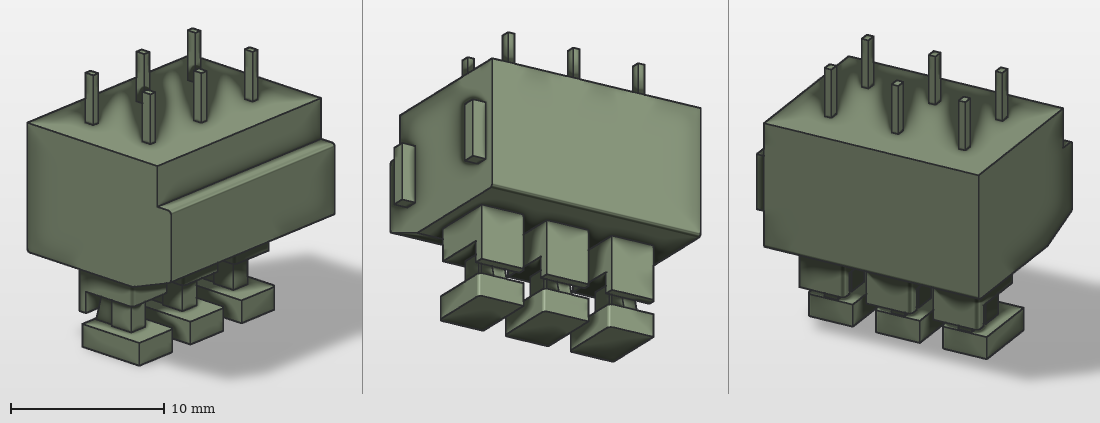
import cadquery as cq


total_height = 18.7
housing_length = 12.6
housing_depth = 16.0
housing_height = 9.07
ledge_width = 1.2
ledge_drop = 2.86
slope_start = 9.25
slope_rise = 1.2
housing_edge_radius = 0.26

tab_width = 1.0
tab_length = 1.0
tab_height = 4.0
tab_bottom = 2.25
tab_centers_x = (1.3, 10.02)

station_count = 3
pitch = 5.0
first_station_y = 2.8

pin_size_x = 0.7
pin_size_y = 0.5
first_pin_x = 3.16

bracket_left = 2.94
bracket_length = 4.8
bracket_width = 3.35
bracket_offset_y = 0.52
bracket_drop = 2.32
leg_length = 0.73
leg_drop = 3.83
corner_radius = 0.3

button_offset_y = 0.28
pad_left = 3.59
pad_length = 5.0
pad_width = 3.4
pad_thickness = 1.6
pad_drop = 4.53
stem_left = 5.25
stem_right = 6.98
stem_width = 1.38
wedge_width = 1.0
wedge_top_left = 4.3
wedge_bottom_left = 3.72

pin_length = total_height - housing_height - pad_drop - pad_thickness


def box(x_min, x_max, y_center, y_size, z_min, z_max):
    """Upright box given by its X and Z limits and its centre and width along Y."""
    corner = (x_min, y_center - y_size / 2, z_min)
    return cq.Workplane("XY").box(x_max - x_min, y_size, z_max - z_min, centered=False).translate(corner)


def prism(points, y_center, y_size):
    """XZ outline extruded evenly to both sides of y_center."""
    outline = cq.Workplane("XZ", origin=(0, y_center, 0)).polyline(points).close()
    return outline.extrude(y_size / 2, both=True)


def make_housing():
    ledge_z = housing_height - ledge_drop
    ledge_x = housing_length - ledge_width
    outline = [
        (0, 0),
        (slope_start, 0),
        (housing_length, slope_rise),
        (housing_length, ledge_z),
        (ledge_x, ledge_z),
        (ledge_x, housing_height),
        (0, housing_height),
    ]
    housing = prism(outline, housing_depth / 2, housing_depth)
    right_edges = housing.faces(">X").edges("|Y")
    left_edge = housing.faces("<X").edges("|Y and <Z")
    return housing.newObject(right_edges.vals() + left_edge.vals()).fillet(housing_edge_radius)


def make_tab(x_center):
    tab = cq.Workplane("XY").box(tab_width, tab_length, tab_height, centered=(True, False, False))
    return tab.translate((x_center, housing_depth, tab_bottom))


def make_pin(x_center, y_center):
    x_min = x_center - pin_size_x / 2
    top = housing_height + pin_length
    return box(x_min, x_min + pin_size_x, y_center, pin_size_y, housing_height, top)


def make_bracket(y_center):
    """Block with a leg hanging down on its left side; the front corners are rounded."""
    right = bracket_left + bracket_length
    leg_right = bracket_left + leg_length
    outline = [
        (bracket_left, 0),
        (right, 0),
        (right, -bracket_drop),
        (leg_right, -bracket_drop),
        (leg_right, -leg_drop),
        (bracket_left, -leg_drop),
    ]
    bracket = prism(outline, y_center, bracket_width)
    left_corner = bracket.faces("<X").edges("|Z and <Y")
    right_corner = bracket.faces(">X").edges("|Z and <Y")
    return bracket.newObject(left_corner.vals() + right_corner.vals()).fillet(corner_radius)


def make_button(y_center):
    """Pad on a stem, with a narrower wedge along the left side of the stem."""
    pad_bottom = -pad_drop - pad_thickness
    pad = box(pad_left, pad_left + pad_length, y_center, pad_width, pad_bottom, -pad_drop)
    pad = pad.faces(">Y").edges("|Z").fillet(corner_radius)
    stem = box(stem_left, stem_right, y_center, stem_width, -pad_drop, -bracket_drop)
    wedge_outline = [
        (stem_left, -bracket_drop),
        (stem_left, -pad_drop),
        (wedge_bottom_left, -pad_drop),
        (wedge_top_left, -bracket_drop),
    ]
    return pad.union(stem).union(prism(wedge_outline, y_center, wedge_width))


result = make_housing()
for tab_x in tab_centers_x:
    result = result.union(make_tab(tab_x))
for station in range(station_count):
    pin_y = first_station_y + station * pitch
    for pin_x in (first_pin_x, first_pin_x + pitch):
        result = result.union(make_pin(pin_x, pin_y))
    result = result.union(make_bracket(pin_y + bracket_offset_y))
    result = result.union(make_button(pin_y + button_offset_y))